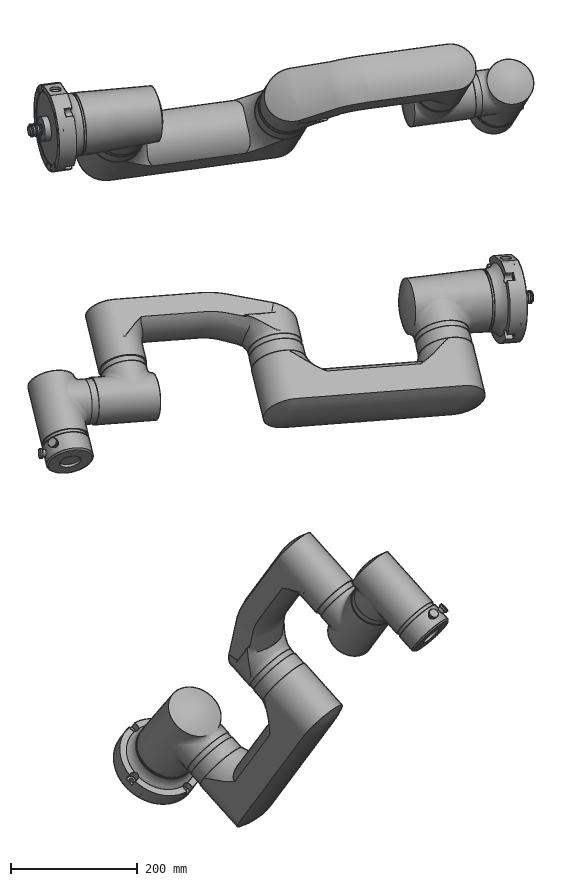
import cadquery as cq
import math

ARM_TILT = 45.0
FLARE_HOLLOW = 0.4

FLANGE_R = 70.0
FLANGE_H = 28.0
FLANGE_FLAT = 67.0
BASE_PLATE_R = 58.5
BASE_PLATE_RECESS = 2.0
FLARE_R = 58.5
SHOULDER_FOOT_R = 50.0
SHOULDER_TOP_R = 45.0
SHOULDER_CONE_Y = 63.0
SHOULDER_TOP_Y = 177.0
SHOULDER_DOME = 9.5
SHOULDER_FILLET = 10.0
GROOVE_Y = 47.0
GROOVE_W = 3.5
GROOVE_DEPTH = 2.0
BOLT_ANGLES = (45, 135, 225, 315)
BOLT_CIRCLE_R = 64.0
BOLT_HOLE_R = 3.5
BOLT_POCKET_R = 7.0
BOLT_SEAT_Y = 15.5
FACE_HOLE_CIRCLE_R = 64.0
FACE_HOLE_DEPTH = 9.0
SCREW_HOLE_ANGLES = (180, 270, 360)
SCREW_HOLE_R = 2.15
DOWEL_HOLE_ANGLES = (22.5, 112.5, 202.5, 292.5)
DOWEL_HOLE_R = 4.0
SOCKET_R = 9.0
SOCKET_DEPTH = 4.0

PLUG_COLLAR_R = 20.0
PLUG_COLLAR_H = 9.0
PLUG_R = 8.0
PLUG_LENGTH = 29.0
PLUG_RIB_R = 10.0
PLUG_RIB_W = 3.0
PLUG_RIB_COUNT = 3
PLUG_RIB_PITCH = 6.45

ARM_R = 45.0
SHOULDER_AXIS_Y = 132.5
ELBOW_AXIS_Y = 408.0
ARM_FACE_U = 132.0
ARM_END_U = 177.0
ARM_CREST = 21.5
ARM_BOTTOM_DOME = 10.0
ARM_FLARE_W = 31.0
JOINT_U = 56.0
JOINT_RING_W = 9.5
JOINT_RING_R = 43.0
STUB_R = 44.0
STUB_END_U = 88.0

FOREARM_R = 39.0
WRIST_AXIS_Y = 662.0
FOREARM_TOP_U = -32.0
FOREARM_FLANK = 35.0
FOREARM_DOME = 9.0
FOREARM_CREST = 17.0
FOREARM_FLARE_W = 15.0
FOREARM_FLARE_TOP_U = 36.0
ELBOW_FLARE_TOP_U = 50.0
ELBOW_FLARE_BOTTOM_U = 17.0
ELBOW_FLARE_W = 22.0
BEND_START_Y = 519.0
BEND_RADIUS = 125.0
BEND_ANGLE = 20.0
WRIST_JOINT_U = 80.0
WRIST_RING_W = 9.5
WRIST_RING_R = 36.0

WRIST_R = 38.0
WRIST_AXIS_U = 128.0
WRIST_STUB_R = 37.0
WRIST_END_Y = 624.0
WRIST_DOME = 5.0
WRIST_TOP_Y = 725.0
WRIST_FACE_Y = 736.0
WRIST_FILLET = 7.0

HEAD_R = 38.0
HEAD_AXIS_Y = 784.5
HEAD_TOP_U = 89.0
HEAD_DOME = 8.0
HEAD_END_U = 235.0
HEAD_NECK_R = 36.0
HEAD_FILLET = 8.0
TOOL_RING_U = 196.0
TOOL_RING_W = 6.0
TOOL_RING_R = 36.0
TOOL_CHAMFER = 3.0
TOOL_BORE_R = 17.0
TOOL_BORE_DEPTH = 5.0
KNOB_U = 216.0
KNOB_ANGLES = (0, 45)
KNOB_R = 6.0
KNOB_CAP_R = 8.0
KNOB_CAP_H = 3.5
KNOB_REACH = 46.5


def cylinder_u(y, radius, u_top, u_bottom):
    """Cylinder along a joint axis, between two distances u from the base axis."""
    return cq.Workplane("XY", origin=(0, y, -u_bottom)).circle(radius).extrude(u_bottom - u_top)


def cylinder_y(u, radius, y_start, y_end):
    """Cylinder along Y whose axis is at the distance u from the base axis."""
    return cq.Workplane("XZ", origin=(0, y_start, -u)).circle(radius).extrude(y_start - y_end)


def cap_u(y, radius, u, rise):
    """Domed cap on a cylinder end: a positive rise bulges towards the base axis."""
    profile = (
        cq.Workplane("XZ", origin=(0, y, -u))
        .lineTo(radius, 0)
        .threePointArc(cap_mid(radius, rise), (0, rise))
        .close()
    )
    return profile.revolve(360, (0, 0), (0, 1))


def bulge_radius(half_width, rise):
    """Radius of an arc with the given half chord and rise."""
    return (half_width**2 + rise**2) / (2 * abs(rise))


def cap_mid(half_width, rise):
    """Point halfway along the arc from (half_width, 0) up to (0, rise)."""
    radius = bulge_radius(half_width, rise)
    half_angle = math.asin(half_width / radius) / 2
    height = abs(rise) - radius * (1 - math.cos(half_angle))
    return (radius * math.sin(half_angle), math.copysign(height, rise))


def flanked_section(plane, half_width, flank, top_rise, bottom_rise):
    """Section with flat flanks below the plane origin and bulging top and bottom."""
    return (
        cq.Workplane(plane)
        .moveTo(-half_width, 0)
        .threePointArc((0, top_rise), (half_width, 0))
        .lineTo(half_width, -flank)
        .threePointArc((0, -flank - bottom_rise), (-half_width, -flank))
        .close()
    )


def section_plane(y, z, tilt=0.0):
    """Plane across the arm, facing +Y and leaning by the tilt angle about X."""
    lean = math.radians(tilt)
    return cq.Plane(origin=(0, y, z), xDir=(-1, 0, 0), normal=(0, math.cos(lean), math.sin(lean)))


def tilt_arm(body):
    return body.rotate((0, 0, 0), (0, 1, 0), ARM_TILT).solids()


def stub_flare(y, radius, spread, u_stub, u_arm, half_width, side):
    """Concave flare turned about a stub, trimmed to the arm on one side in Y (side is 1 or -1)."""
    height = u_arm - u_stub
    profile = (
        cq.Workplane("XZ", origin=(0, y, -u_arm))
        .lineTo(radius + spread, 0)
        .threePointArc((radius + FLARE_HOLLOW * spread, FLARE_HOLLOW * height), (radius, height))
        .lineTo(0, height)
        .close()
    )
    flare = profile.revolve(360, (0, 0), (0, 1))
    reach = radius + spread
    trim_base = cq.Workplane("XY", origin=(0, y + side * reach / 2, -u_arm))
    return flare.intersect(trim_base.rect(2 * half_width, reach).extrude(height))


def fillet_crossing(body, radius, y_limits, u_limits):
    """Round the curves along which two crossing cylinders meet."""
    y_min, y_max = y_limits
    u_min, u_max = u_limits
    region = cq.selectors.BoxSelector((-ARM_R, y_min, -u_max), (ARM_R, y_max, -u_min))
    return body.edges("%BSPLINE").edges(region).fillet(radius)


def base_profile():
    """Flange, flare, groove, shoulder cone and dome, turned about Y."""
    dome_x, dome_rise = cap_mid(SHOULDER_TOP_R, SHOULDER_DOME)
    groove_r = SHOULDER_FOOT_R - GROOVE_DEPTH
    flare_end_y = GROOVE_Y - GROOVE_W
    flare_mid_x = SHOULDER_FOOT_R + FLARE_HOLLOW * (FLARE_R - SHOULDER_FOOT_R)
    flare_mid_y = FLANGE_H + FLARE_HOLLOW * (flare_end_y - FLANGE_H)
    return (
        cq.Workplane("XY")
        .lineTo(FLANGE_R, 0)
        .lineTo(FLANGE_R, FLANGE_H)
        .lineTo(FLARE_R, FLANGE_H)
        .threePointArc((flare_mid_x, flare_mid_y), (SHOULDER_FOOT_R, flare_end_y))
        .lineTo(SHOULDER_FOOT_R, GROOVE_Y)
        .lineTo(groove_r, GROOVE_Y)
        .lineTo(groove_r, GROOVE_Y + GROOVE_W)
        .lineTo(SHOULDER_FOOT_R, GROOVE_Y + GROOVE_W)
        .lineTo(SHOULDER_FOOT_R, SHOULDER_CONE_Y)
        .lineTo(SHOULDER_TOP_R, SHOULDER_TOP_Y)
        .threePointArc((dome_x, SHOULDER_TOP_Y + dome_rise), (0, SHOULDER_TOP_Y + SHOULDER_DOME))
        .close()
        .revolve(360, (0, 0), (0, 1))
    )


def around_base(radius, angle, y):
    """Plane facing +Y, centred at an angle around the base axis (X towards Z)."""
    turn = math.radians(angle)
    centre = (radius * math.cos(turn), y, radius * math.sin(turn))
    return cq.Plane(origin=centre, xDir=(math.cos(turn), 0, math.sin(turn)), normal=(0, 1, 0))


def cut_bolt_seats(base):
    """Bolt holes through the flange, each under a pocket open to the rim."""
    pocket_r = BOLT_CIRCLE_R + BOLT_POCKET_R
    for angle in BOLT_ANGLES:
        hole = cq.Workplane(around_base(BOLT_CIRCLE_R, angle, 0)).circle(BOLT_HOLE_R).extrude(FLANGE_H)
        seat = cq.Workplane(around_base(pocket_r, angle, BOLT_SEAT_Y))
        pocket = seat.slot2D(4 * BOLT_POCKET_R, 2 * BOLT_POCKET_R).extrude(FLANGE_H)
        base = base.cut(hole).cut(pocket)
    return base


def cut_face_holes(base, angles, radius):
    """Blind holes in the mounting face."""
    for angle in angles:
        plane = around_base(FACE_HOLE_CIRCLE_R, angle, 0)
        base = base.cut(cq.Workplane(plane).circle(radius).extrude(FACE_HOLE_DEPTH))
    return base


def cut_socket_pad(base):
    """Flat on top of the flange, with a round socket in it."""
    above = cq.Workplane("XY", origin=(0, FLANGE_H / 2, FLANGE_FLAT))
    base = base.cut(above.rect(2 * FLANGE_R, FLANGE_H).extrude(FLANGE_R))
    return base.cut(above.circle(SOCKET_R).extrude(-SOCKET_DEPTH))


def cable_plug():
    """Collar and ribbed stem below the mounting face."""
    plug = cylinder_y(0, PLUG_COLLAR_R, -PLUG_COLLAR_H, BASE_PLATE_RECESS)
    plug = plug.union(cylinder_y(0, PLUG_R, -PLUG_LENGTH, 0))
    for index in range(PLUG_RIB_COUNT):
        rib_y = -PLUG_COLLAR_H - PLUG_RIB_W - index * PLUG_RIB_PITCH
        plug = plug.union(cylinder_y(0, PLUG_RIB_R, rib_y - PLUG_RIB_W, rib_y))
    return plug


def make_shoulder():
    shoulder = base_profile().union(cylinder_u(SHOULDER_AXIS_Y, STUB_R, 0, JOINT_U))
    shoulder = fillet_crossing(shoulder, SHOULDER_FILLET, (GROOVE_Y, SHOULDER_TOP_Y), (0, JOINT_U))
    shoulder = tilt_arm(shoulder)
    shoulder = shoulder.cut(cylinder_y(0, BASE_PLATE_R, 0, BASE_PLATE_RECESS))
    shoulder = cut_bolt_seats(shoulder)
    shoulder = cut_face_holes(shoulder, SCREW_HOLE_ANGLES, SCREW_HOLE_R)
    shoulder = cut_face_holes(shoulder, DOWEL_HOLE_ANGLES, DOWEL_HOLE_R)
    shoulder = cut_socket_pad(shoulder)
    return shoulder.union(cable_plug()).solids()


def make_upper_arm():
    flank = ARM_END_U - ARM_FACE_U
    ring_end_u = JOINT_U + JOINT_RING_W
    span = ELBOW_AXIS_Y - SHOULDER_AXIS_Y
    plane = section_plane(SHOULDER_AXIS_Y, -ARM_FACE_U)
    arm = flanked_section(plane, ARM_R, flank, ARM_CREST, ARM_BOTTOM_DOME).extrude(span)
    for y, side in ((SHOULDER_AXIS_Y, 1), (ELBOW_AXIS_Y, -1)):
        arm = arm.union(cylinder_u(y, ARM_R, STUB_END_U, ARM_END_U))
        arm = arm.union(cap_u(y, ARM_R, ARM_END_U, -ARM_BOTTOM_DOME))
        arm = arm.union(stub_flare(y, ARM_R, ARM_FLARE_W, STUB_END_U, ARM_FACE_U, ARM_R, side))
        arm = arm.union(cylinder_u(y, STUB_R, ring_end_u, STUB_END_U))
        arm = arm.union(cylinder_u(y, JOINT_RING_R, JOINT_U, ring_end_u))
    return tilt_arm(arm)


def forearm_section(plane, half_width):
    return flanked_section(plane, half_width, FOREARM_FLANK, FOREARM_DOME, FOREARM_CREST)


def forearm_beam():
    """Straight run, bend, and inclined run that widens up to the elbow."""
    straight_plane = section_plane(BEND_START_Y, -FOREARM_TOP_U)
    straight = forearm_section(straight_plane, FOREARM_R).extrude(WRIST_AXIS_Y - BEND_START_Y)
    pivot = -BEND_RADIUS - FOREARM_FLANK / 2
    bend = forearm_section(straight_plane, FOREARM_R).revolve(BEND_ANGLE, (9, pivot), (0, pivot))
    bend_end, elbow = inclined_planes()
    incline = cq.Solid.makeLoft(
        [forearm_section(bend_end, FOREARM_R).val(), forearm_section(elbow, STUB_R).val()], True
    )
    return straight.union(bend).union(cq.Workplane(incline))


def inclined_planes():
    """Section planes at the lower end of the bend and where the incline meets the elbow axis."""
    lean = math.radians(BEND_ANGLE)
    top_radius = BEND_RADIUS + FOREARM_FLANK / 2
    bend_y = BEND_START_Y - top_radius * math.sin(lean)
    bend_z = -FOREARM_TOP_U - top_radius * (1 - math.cos(lean))
    elbow_z = bend_z - (bend_y - ELBOW_AXIS_Y) * math.tan(lean)
    return section_plane(bend_y, bend_z, BEND_ANGLE), section_plane(ELBOW_AXIS_Y, elbow_z, BEND_ANGLE)


def elbow_end():
    """Elbow stub with a spherical top that carries on the inclined dome of the beam."""
    stub = cylinder_u(ELBOW_AXIS_Y, STUB_R, -ARM_R, JOINT_U)
    dome_r = bulge_radius(STUB_R, FOREARM_DOME)
    dome = cq.Workplane(inclined_planes()[1]).center(0, FOREARM_DOME - dome_r).sphere(dome_r)
    return stub.intersect(dome)


def make_forearm():
    flank_end_u = FOREARM_TOP_U + FOREARM_FLANK
    ring_u = WRIST_JOINT_U - WRIST_RING_W
    forearm = forearm_beam().union(elbow_end())
    forearm = forearm.union(
        stub_flare(
            ELBOW_AXIS_Y, STUB_R, ELBOW_FLARE_W, ELBOW_FLARE_TOP_U, ELBOW_FLARE_BOTTOM_U, STUB_R, 1
        )
    )
    forearm = forearm.union(cylinder_u(WRIST_AXIS_Y, FOREARM_R, FOREARM_TOP_U, ring_u))
    forearm = forearm.union(cap_u(WRIST_AXIS_Y, FOREARM_R, FOREARM_TOP_U, FOREARM_DOME))
    forearm = forearm.union(
        stub_flare(
            WRIST_AXIS_Y, FOREARM_R, FOREARM_FLARE_W, FOREARM_FLARE_TOP_U, flank_end_u, FOREARM_R, -1
        )
    )
    forearm = forearm.union(cylinder_u(WRIST_AXIS_Y, WRIST_RING_R, ring_u, WRIST_JOINT_U))
    return tilt_arm(forearm)


def make_wrist():
    wrist = cylinder_y(WRIST_AXIS_U, WRIST_R, WRIST_END_Y, WRIST_TOP_Y)
    wrist = wrist.union(cylinder_u(WRIST_AXIS_Y, WRIST_STUB_R, WRIST_JOINT_U, WRIST_AXIS_U))
    wrist = fillet_crossing(wrist, WRIST_FILLET, (WRIST_END_Y, WRIST_TOP_Y), (WRIST_JOINT_U, WRIST_AXIS_U))
    wrist = wrist.union(cylinder_y(WRIST_AXIS_U, WRIST_RING_R, WRIST_TOP_Y, WRIST_FACE_Y))
    dome = (
        cq.Workplane("XY", origin=(0, WRIST_END_Y, -WRIST_AXIS_U))
        .lineTo(WRIST_R, 0)
        .threePointArc(cap_mid(WRIST_R, -WRIST_DOME), (0, -WRIST_DOME))
        .close()
        .revolve(360, (0, 0), (0, 1))
    )
    return tilt_arm(wrist.union(dome))


def knob(angle):
    """Plug knob standing out from the tool flange, turned from +Y about its axis."""
    turn = math.radians(angle)
    plane = cq.Plane(
        origin=(0, HEAD_AXIS_Y, -KNOB_U),
        xDir=(0, 0, 1),
        normal=(-math.sin(turn), math.cos(turn), 0),
    )
    stem = cq.Workplane(plane).workplane(offset=HEAD_R / 2).circle(KNOB_R).extrude(KNOB_REACH - HEAD_R / 2)
    cap = cq.Workplane(plane).workplane(offset=KNOB_REACH - KNOB_CAP_H).circle(KNOB_CAP_R).extrude(KNOB_CAP_H)
    return stem.union(cap)


def make_tool_head():
    flange_u = TOOL_RING_U + TOOL_RING_W
    head = cylinder_u(HEAD_AXIS_Y, HEAD_R, HEAD_TOP_U, TOOL_RING_U)
    head = head.union(cylinder_y(WRIST_AXIS_U, HEAD_NECK_R, WRIST_FACE_Y, HEAD_AXIS_Y))
    head = fillet_crossing(head, HEAD_FILLET, (WRIST_FACE_Y, HEAD_AXIS_Y), (HEAD_TOP_U, TOOL_RING_U))
    head = head.union(cap_u(HEAD_AXIS_Y, HEAD_R, HEAD_TOP_U, HEAD_DOME))
    head = head.union(cylinder_u(HEAD_AXIS_Y, TOOL_RING_R, TOOL_RING_U, flange_u))
    flange = cylinder_u(HEAD_AXIS_Y, HEAD_R, flange_u, HEAD_END_U).faces("<Z").chamfer(TOOL_CHAMFER)
    head = head.union(flange)
    head = head.cut(cylinder_u(HEAD_AXIS_Y, TOOL_BORE_R, HEAD_END_U - TOOL_BORE_DEPTH, HEAD_END_U))
    for angle in KNOB_ANGLES:
        head = head.union(knob(angle))
    return tilt_arm(head)


shoulder = make_shoulder()
upper_arm = make_upper_arm()
forearm = make_forearm()
wrist = make_wrist()
tool_head = make_tool_head()

result = cq.Compound.makeCompound(
    [shoulder.val(), upper_arm.val(), forearm.val(), wrist.val(), tool_head.val()]
)